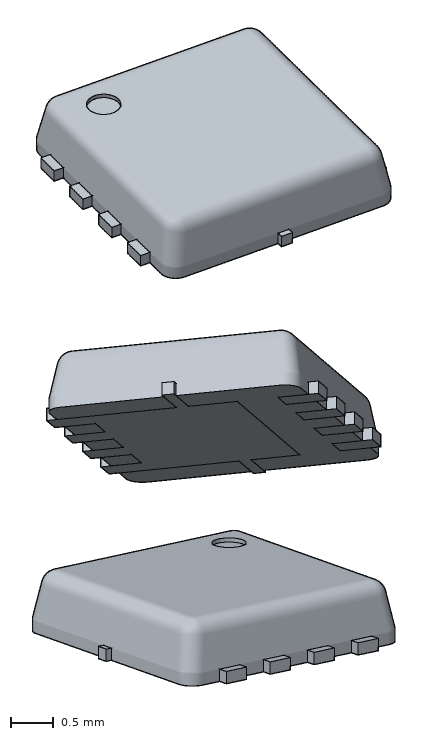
import cadquery as cq

OVERALL_X = 3.30
OVERALL_Y = 3.35
PACKAGE_HEIGHT = 0.75

HOUSING_X = 3.15
HOUSING_Y = 3.10
DRAFT_ANGLE = 10.0
EDGE_RADIUS = 0.20

FRAME_THICKNESS = 0.15
LEADS_PER_SIDE = 4
LEAD_PITCH = 0.65
LEAD_WIDTH = 0.30
LEAD_LENGTH = 0.50
TIE_BAR_WIDTH = 0.15
PAD_TO_LEAD_GAP = 0.50

MARK_DIAMETER = 0.40
MARK_DEPTH = 0.05
MARK_INSET = 0.625

LEAD_XS = [(i - (LEADS_PER_SIDE - 1) / 2) * LEAD_PITCH for i in range(LEADS_PER_SIDE)]
PAD_WIDTH = LEAD_XS[-1] - LEAD_XS[0] + LEAD_WIDTH
LEAD_INNER_Y = -OVERALL_Y / 2 + LEAD_LENGTH
PAD_FRONT_Y = LEAD_INNER_Y + PAD_TO_LEAD_GAP
PAD_BACK_Y = OVERALL_Y / 2 - LEAD_LENGTH


def frame_bar(x_center, width, y_front, y_back):
    """Flat rectangular piece of the lead frame resting on Z = 0."""
    return (
        cq.Workplane("XY")
        .center(x_center, (y_front + y_back) / 2)
        .rect(width, y_back - y_front)
        .extrude(FRAME_THICKNESS)
    )


def make_lead(x_center):
    """One separate terminal on the -Y side."""
    return frame_bar(x_center, LEAD_WIDTH, -OVERALL_Y / 2, LEAD_INNER_Y)


def make_drain_pad():
    """Die pad joined to the four +Y terminals and the tie bar ending on both X sides."""
    pad = frame_bar(0, PAD_WIDTH, PAD_FRONT_Y, PAD_BACK_Y)
    for x in LEAD_XS:
        pad = pad.union(frame_bar(x, LEAD_WIDTH, PAD_BACK_Y, OVERALL_Y / 2))
    tie_bar = frame_bar(0, OVERALL_X, -TIE_BAR_WIDTH / 2, TIE_BAR_WIDTH / 2)
    return pad.union(tie_bar)


def make_housing_shell():
    """Straight base band, drafted upper part, rounded corners and rounded top rim."""
    draft_height = PACKAGE_HEIGHT - FRAME_THICKNESS
    base = cq.Workplane("XY").rect(HOUSING_X, HOUSING_Y).extrude(FRAME_THICKNESS)
    block = (
        base.faces(">Z")
        .workplane()
        .rect(HOUSING_X, HOUSING_Y)
        .extrude(draft_height, taper=DRAFT_ANGLE)
    )
    corners_and_rim = block.edges("(not #Z) or >Z")
    return corners_and_rim.fillet(EDGE_RADIUS)


def make_pin_1_mark():
    """Cutter for the pin 1 recess."""
    return (
        cq.Workplane("XY", origin=(0, 0, PACKAGE_HEIGHT - MARK_DEPTH))
        .center(MARK_INSET - HOUSING_X / 2, MARK_INSET - HOUSING_Y / 2)
        .circle(MARK_DIAMETER / 2)
        .extrude(MARK_DEPTH)
    )


leads = [make_lead(x) for x in LEAD_XS]
drain_pad = make_drain_pad()

housing = make_housing_shell().cut(make_pin_1_mark()).cut(drain_pad)
for lead in leads:
    housing = housing.cut(lead)

result = cq.Compound.makeCompound(
    [housing.val(), drain_pad.val(), *[lead.val() for lead in leads]]
)